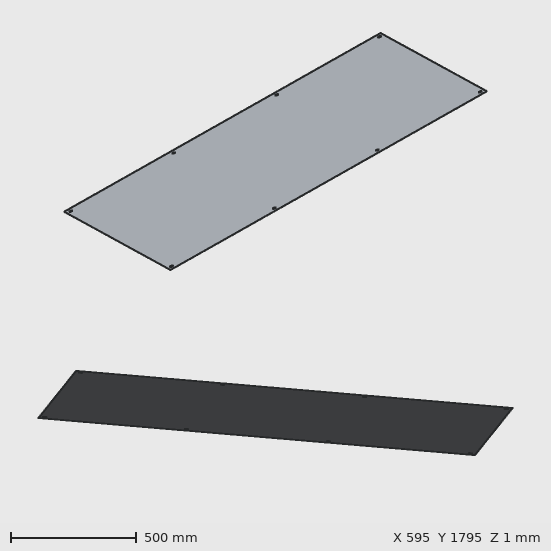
import cadquery as cq

width = 595.0
length = 1795.0
thickness = 1.0

slots_per_row = 4
slot_width = 5.0
slot_length = 15.0
side_margin = 16.0
end_margin = 22.0

row_spacing = width - 2 * side_margin
slot_pitch = (length - 2 * end_margin) / (slots_per_row - 1)

sheet = cq.Workplane("XY").box(width, length, thickness)

result = (
    sheet.faces(">Z")
    .workplane()
    .rarray(row_spacing, slot_pitch, 2, slots_per_row)
    .slot2D(slot_length, slot_width, angle=90)
    .cutThruAll()
)